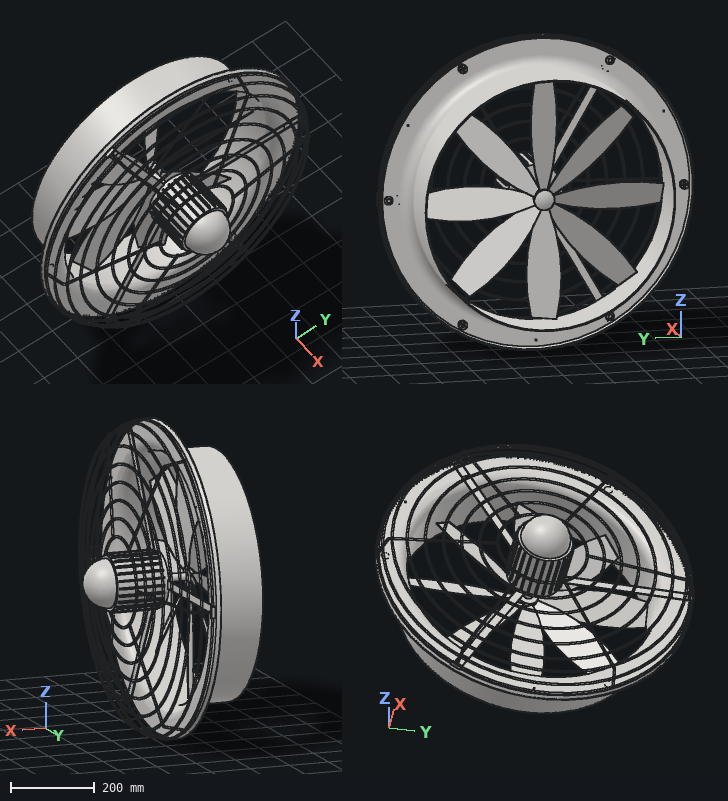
import cadquery as cq
import math


duct_radius = 307.3
sheet = 3.0
duct_length = 116.3
flare_radius = 28.7
flange_front = duct_length + flare_radius
flange_back = flange_front + sheet
flange_radius = 380.5
lip_radius = 385.2
lip_front = 137.0

fastener_circle = 362.5
fastener_radius = 10.0
screw_front = 134.4
slot_length = 12.0
slot_width = 3.0
slot_depth = 3.0
washer_height = 2.0
stud_radius = 5.0
stud_height = 6.0
small_hole_diameter = 3.0

motor_radius = 67.6
motor_front = flange_back
motor_back = 278.8
dome_radius = 60.0
fin_count = 24
fin_tip_radius = 72.0
fin_root_radius = motor_radius - 2.0
fin_width = 3.5
fin_front = 160.0
fin_back = 274.5
fin_chamfer = 3.5
shaft_radius = 10.0

blade_count = 8
blade_center = 67.0
blade_pitch = 30.0
blade_thickness = 2.0
blade_root = 15.0
blade_waist = 165.0
blade_tip = 291.0
root_half_chord = 10.0
waist_half_chord = 43.0
tip_half_chord = 31.5
hub_radius = 25.0
hub_front = 60.0
hub_back = 76.0
hub_dome_height = 6.0

strut_width = 21.0
strut_thickness = 2.5
strut_end = 378.0
clip_width = 28.0
clip_radius = 387.27
clip_front = 153.0
clip_back = 163.0
tab_thickness = 4.0

wire_radius = 2.2
side_rings = [(158.2, 383.0), (183.5, 376.9), (210.5, 359.5)]
cone_ring_count = 6
cone_outer_x, cone_outer_radius = 215.8, 324.0
cone_inner_x, cone_inner_radius = 246.5, 109.0
rib_count = 6
ring_seam_angle = 17.0
rib_inset = 3.0
rib_bend_radius = 8.0
rib_start_x, rib_start_radius = 154.0, 380.6
rib_corner_x, rib_corner_radius = 207.0, 367.3

strut_angles = [0, 120, 240]
screw_angles = [60, 180, 300]
small_hole_angles = [30, 150, 270]


def around_axis(shape, angle):
    """Turn a shape about X; 0 degrees is +Y and 90 degrees is +Z."""
    return shape.rotate((0, 0, 0), (1, 0, 0), angle)


def axial_cylinder(radius, x_start, x_end, y=0.0):
    plane = cq.Workplane("YZ", origin=(x_start, y, 0))
    return plane.circle(radius).extrude(x_end - x_start)


def block(x_range, y_range, width):
    """Box between two X values and two Y values, centred on Z = 0."""
    x0, x1 = x_range
    y0, y1 = y_range
    return cq.Workplane("XY").box(x1 - x0, y1 - y0, width).translate(((x0 + x1) / 2, (y0 + y1) / 2, 0))


def revolve_x(profile):
    return profile.close().revolve(360, (0, 0, 0), (1, 0, 0))


def make_housing():
    """Sheet metal duct, flared into a flange with a lip turned back towards the inlet."""
    flare_end = duct_radius + flare_radius
    mid = math.sqrt(0.5)
    outer_mid = (duct_length + flare_radius * mid, flare_end - flare_radius * mid)
    inner_arc = flare_radius + sheet
    inner_mid = (duct_length + inner_arc * mid, flare_end - inner_arc * mid)
    profile = (
        cq.Workplane("XY")
        .moveTo(0, duct_radius)
        .lineTo(duct_length, duct_radius)
        .threePointArc(outer_mid, (flange_front, flare_end))
        .lineTo(flange_front, flange_radius - sheet)
        .lineTo(lip_front, lip_radius - sheet)
        .lineTo(lip_front, lip_radius)
        .lineTo(flange_back, flange_radius)
        .lineTo(flange_back, flare_end)
        .threePointArc(inner_mid, (duct_length, duct_radius - sheet))
        .lineTo(0, duct_radius - sheet)
    )
    housing = revolve_x(profile)
    for angle in small_hole_angles:
        hole = axial_cylinder(small_hole_diameter / 2, lip_front, flange_back, fastener_circle)
        housing = housing.cut(around_axis(hole, angle))
    return housing


def make_screw():
    """Tall round screw head with a cross recess."""
    head = axial_cylinder(fastener_radius, screw_front, flange_front, fastener_circle)
    slot = cq.Workplane("YZ", origin=(screw_front, fastener_circle, 0)).rect(slot_length, slot_width)
    cross_slot = cq.Workplane("YZ", origin=(screw_front, fastener_circle, 0)).rect(slot_width, slot_length)
    return head.cut(slot.extrude(slot_depth)).cut(cross_slot.extrude(slot_depth))


def make_stud():
    """Washer and stud end that fix a strut to the flange."""
    washer = axial_cylinder(fastener_radius, flange_front - washer_height, flange_front, fastener_circle)
    stud = axial_cylinder(stud_radius, flange_front - stud_height, flange_front, fastener_circle)
    return washer.union(stud)


def make_motor():
    """Finned motor with a hemispherical end and the shaft that carries the hub."""
    profile = (
        cq.Workplane("XY")
        .moveTo(hub_front, 0)
        .lineTo(hub_front, shaft_radius)
        .lineTo(motor_front, shaft_radius)
        .lineTo(motor_front, motor_radius)
        .lineTo(motor_back, motor_radius)
        .lineTo(motor_back, dome_radius)
        .threePointArc(
            (motor_back + dome_radius * math.sqrt(0.5), dome_radius * math.sqrt(0.5)),
            (motor_back + dome_radius, 0),
        )
    )
    motor = revolve_x(profile)
    fin = block((fin_front, fin_back), (fin_root_radius, fin_tip_radius), fin_width)
    fin = fin.edges(">X and >Y").chamfer(fin_chamfer)
    for i in range(fin_count):
        motor = motor.union(around_axis(fin, i * 360 / fin_count))
    return motor


def make_impeller():
    """Domed hub with flat pitched blades."""
    dome_tip = hub_front - hub_dome_height
    hub_dome_radius = (hub_radius**2 + hub_dome_height**2) / (2 * hub_dome_height)
    half_sweep = math.asin(hub_radius / hub_dome_radius) / 2
    dome_mid_x = dome_tip + hub_dome_radius * (1 - math.cos(half_sweep))
    dome_mid = (dome_mid_x, hub_dome_radius * math.sin(half_sweep))
    hub_profile = (
        cq.Workplane("XY")
        .moveTo(dome_tip, 0)
        .threePointArc(dome_mid, (hub_front, hub_radius))
        .lineTo(hub_back, hub_radius)
        .lineTo(hub_back, 0)
    )
    impeller = revolve_x(hub_profile)
    pitch = math.radians(blade_pitch)
    blade_plane = cq.Plane(
        origin=(blade_center, 0, 0),
        xDir=(0, 0, 1),
        normal=(math.cos(pitch), math.sin(pitch), 0),
    )
    blade = (
        cq.Workplane(blade_plane)
        .moveTo(blade_root, root_half_chord)
        .threePointArc((blade_waist, waist_half_chord), (blade_tip, tip_half_chord))
        .lineTo(blade_tip, -tip_half_chord)
        .threePointArc((blade_waist, -waist_half_chord), (blade_root, -root_half_chord))
        .close()
        .extrude(blade_thickness / 2, both=True)
    )
    for i in range(blade_count):
        impeller = impeller.union(around_axis(blade, i * 360 / blade_count))
    return impeller


def make_strut():
    """Flat strut from the motor to the rim, with the foot and clip that hold the guard."""
    shelf_back = clip_front + strut_thickness
    arm = block((flange_back, flange_back + strut_thickness), (0, strut_end), strut_width)
    foot = block((flange_back, shelf_back), (strut_end - sheet, strut_end), strut_width)
    shelf = block((clip_front, shelf_back), (strut_end - sheet, clip_radius), clip_width)
    tab = block((clip_front, clip_back), (clip_radius - tab_thickness, clip_radius), clip_width)
    return arm.union(foot).union(shelf).union(tab)


def make_ring(x, radius):
    """Closed wire ring, its seam turned to lie between two ribs."""
    ring = cq.Solid.makeTorus(radius, wire_radius, cq.Vector(x, 0, 0), cq.Vector(1, 0, 0))
    return around_axis(cq.Workplane(ring), ring_seam_angle)


def make_rib():
    """Wire running along the guard side, bent inwards and along its cone."""
    corner = cq.Vector(rib_corner_x, rib_corner_radius, 0)
    start = cq.Vector(rib_start_x, rib_start_radius, 0)
    end = cq.Vector(cone_inner_x - rib_inset, cone_inner_radius, 0)
    to_start = (start - corner).normalized()
    to_end = (end - corner).normalized()
    half_angle = to_start.getAngle(to_end) / 2
    tangent_length = rib_bend_radius / math.tan(half_angle)
    bend_depth = rib_bend_radius / math.sin(half_angle) - rib_bend_radius
    bend_start = corner + to_start * tangent_length
    bend_end = corner + to_end * tangent_length
    bend_mid = corner + (to_start + to_end).normalized() * bend_depth
    path = (
        cq.Workplane("XY")
        .moveTo(start.x, start.y)
        .lineTo(bend_start.x, bend_start.y)
        .threePointArc((bend_mid.x, bend_mid.y), (bend_end.x, bend_end.y))
        .lineTo(end.x, end.y)
    )
    section_plane = cq.Plane(origin=start, xDir=(0, 0, 1), normal=to_start * -1)
    return cq.Workplane(section_plane).circle(wire_radius).sweep(path)


def make_guard():
    """Wire rings on the side and the cone of the guard, joined by ribs."""
    rings = list(side_rings)
    for i in range(cone_ring_count):
        share = i / (cone_ring_count - 1)
        x = cone_outer_x + share * (cone_inner_x - cone_outer_x)
        radius = cone_outer_radius + share * (cone_inner_radius - cone_outer_radius)
        rings.append((x, radius))
    rib = make_rib()
    guard = rib
    for i in range(1, rib_count):
        guard = guard.union(around_axis(rib, i * 360 / rib_count))
    for x, radius in rings:
        guard = guard.union(make_ring(x, radius))
    return guard


result = make_housing().union(make_motor()).union(make_impeller())
for strut_angle in strut_angles:
    result = result.union(around_axis(make_strut().union(make_stud()), strut_angle))
for screw_angle in screw_angles:
    result = result.union(around_axis(make_screw(), screw_angle))
result = result.union(make_guard())